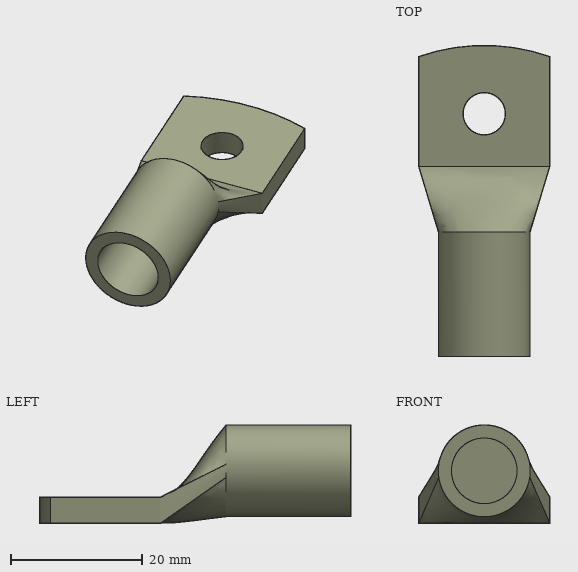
import cadquery as cq
import math

PALM_WIDTH = 20.0
PALM_THICKNESS = 4.0
PALM_LENGTH = 18.43
TIP_RADIUS = 30.0
HOLE_DIAMETER = 6.4
HOLE_TO_NECK = 8.0
NECK_LENGTH = 10.0
BARREL_OUTER_DIAMETER = 14.0
BARREL_BORE_DIAMETER = 10.0
BARREL_LENGTH = 19.0
BARREL_LIFT = 1.0
NECK_SIDE_RISE = 1.0
NECK_STEPS = 4

PALM_HALF_WIDTH = PALM_WIDTH / 2
BARREL_RADIUS = BARREL_OUTER_DIAMETER / 2
BARREL_AXIS_Z = BARREL_LIFT + BARREL_RADIUS
NECK_START_Y = BARREL_LENGTH
PALM_START_Y = NECK_START_Y + NECK_LENGTH
TIP_Y = PALM_START_Y + PALM_LENGTH
TIP_SAGITTA = TIP_RADIUS - math.sqrt(TIP_RADIUS**2 - PALM_HALF_WIDTH**2)
NECK_SIDE_HALF_WIDTH = math.sqrt(BARREL_RADIUS**2 - NECK_SIDE_RISE**2)


def blend(start, end, fraction):
    """Straight-line change between two values."""
    return start + (end - start) * fraction


def make_palm():
    """Flat tongue with a rounded tip and a stud hole."""
    shoulder_y = TIP_Y - TIP_SAGITTA
    return (
        cq.Workplane("XY")
        .moveTo(-PALM_HALF_WIDTH, PALM_START_Y)
        .lineTo(PALM_HALF_WIDTH, PALM_START_Y)
        .lineTo(PALM_HALF_WIDTH, shoulder_y)
        .threePointArc((0, TIP_Y), (-PALM_HALF_WIDTH, shoulder_y))
        .close()
        .moveTo(0, PALM_START_Y + HOLE_TO_NECK)
        .circle(HOLE_DIAMETER / 2)
        .extrude(PALM_THICKNESS)
    )


def make_barrel():
    """Tube that receives the cable; the bore ends at the solid neck."""
    return (
        cq.Workplane("XZ")
        .center(0, BARREL_AXIS_Z)
        .circle(BARREL_RADIUS)
        .circle(BARREL_BORE_DIAMETER / 2)
        .extrude(-BARREL_LENGTH)
    )


def neck_section(fraction):
    """Neck outline, from the palm rectangle (0) to the barrel circle (1)."""
    middle_fraction = 2 * fraction**2 - fraction**3
    corner_x = blend(PALM_HALF_WIDTH, NECK_SIDE_HALF_WIDTH, fraction)
    side_x = blend(PALM_HALF_WIDTH, BARREL_RADIUS, fraction)
    low_corner_z = blend(0, BARREL_AXIS_Z - NECK_SIDE_RISE, fraction)
    high_corner_z = blend(PALM_THICKNESS, BARREL_AXIS_Z + NECK_SIDE_RISE, fraction)
    side_z = (low_corner_z + high_corner_z) / 2
    bottom_z = blend(0, BARREL_LIFT, middle_fraction)
    top_z = blend(PALM_THICKNESS, BARREL_AXIS_Z + BARREL_RADIUS, middle_fraction)

    y = blend(PALM_START_Y, NECK_START_Y, fraction)
    outline = cq.Workplane("XZ", origin=(0, y, 0)).moveTo(-corner_x, low_corner_z)
    if fraction == 0:
        outline = (
            outline.lineTo(corner_x, low_corner_z)
            .lineTo(corner_x, high_corner_z)
            .lineTo(-corner_x, high_corner_z)
            .close()
        )
    else:
        outline = (
            outline.threePointArc((0, bottom_z), (corner_x, low_corner_z))
            .threePointArc((side_x, side_z), (corner_x, high_corner_z))
            .threePointArc((0, top_z), (-corner_x, high_corner_z))
            .threePointArc((-side_x, side_z), (-corner_x, low_corner_z))
            .close()
        )
    return outline.val()


def make_neck():
    """Solid transition that joins the palm to the barrel."""
    sections = [neck_section(step / NECK_STEPS) for step in range(NECK_STEPS + 1)]
    return cq.Workplane(obj=cq.Solid.makeLoft(sections))


result = make_palm().union(make_neck()).union(make_barrel())